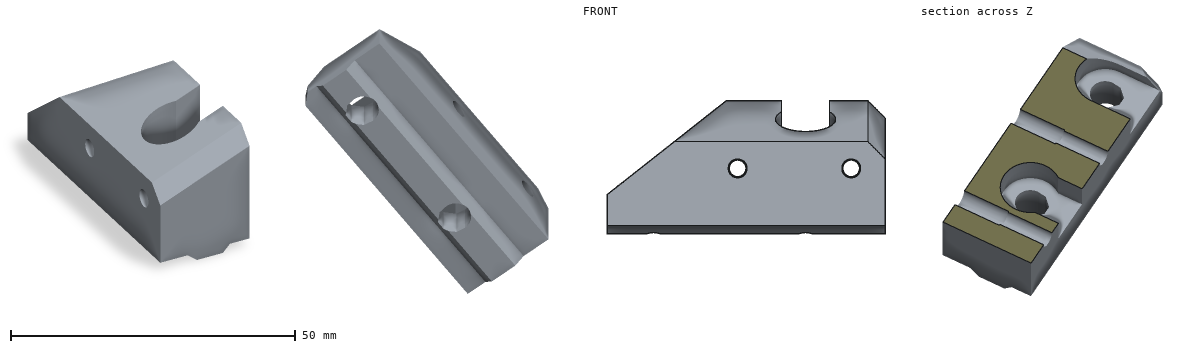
import cadquery as cq

length = 49.0
width = 17.9
height = 23.4
base_z = 1.45
front_height = 16.2
roof_slope = (height - front_height) / width

ramp_start_z = 6.9
ramp_top_x = 20.95

end_bevel = 3.1

rail_top_y = (5.5, 13.95)
rail_bottom_y = (7.35, 12.55)

station_spacing = 26.75
low_station_x = 8.2
high_station_x = low_station_x + station_spacing
station_y = 9.8
pocket_radius = 5.3
pocket_floor_z = ramp_start_z
high_slot_width = 8.4
screw_radius = 2.7
screw_flat_offset = 3.35
screw_flat_half_width = 0.85
screw_shoulder = (2.45, 1.7)

cross_diameter = 2.9
cross_front_diameter = 3.35
cross_front_depth = width / 2
cross_z = 11.5
cross_xs = (23.0, 42.95)

corner_bevel = 1.95
corner_cut_y = 12.3
corner_slope_x = 1.63
corner_slope_y = -0.86


def slab_above(origin, slope_x, slope_y):
    """Large slab on the upper side of a tilted plane, used to trim a corner or an edge."""
    plane = cq.Plane(origin=origin, xDir=(1, 0, slope_x), normal=(-slope_x, -slope_y, 1))
    return cq.Workplane(plane).rect(2 * length, 2 * length).extrude(length)


def make_block():
    """Block with a sloping roof, cut by the ramp and the bevel at the high end."""
    block = (
        cq.Workplane("YZ")
        .polyline([(0, base_z), (width, base_z), (width, height), (0, front_height)])
        .close()
        .extrude(length)
    )
    bevel_cut = slab_above(
        origin=(length - end_bevel, 0, front_height),
        slope_x=-1,
        slope_y=roof_slope,
    )
    ramp_cut = (
        cq.Workplane("XZ")
        .polyline([(0, ramp_start_z), (ramp_top_x, height), (0, height)])
        .close()
        .extrude(-width)
    )
    return block.cut(bevel_cut).cut(ramp_cut)


def make_rail():
    """Trapezoidal rail along the whole underside."""
    return (
        cq.Workplane("YZ")
        .polyline([(rail_top_y[0], base_z), (rail_bottom_y[0], 0),
                   (rail_bottom_y[1], 0), (rail_top_y[1], base_z)])
        .close()
        .extrude(length)
    )


def make_pocket(center_x, slot_width):
    """Round pocket with a straight slot out through the back face."""
    depth = height - pocket_floor_z
    floor = cq.Workplane("XY", origin=(center_x, station_y, pocket_floor_z))
    slot_length = width - station_y
    slot = floor.center(0, slot_length / 2).rect(slot_width, slot_length).extrude(depth)
    bore = floor.circle(pocket_radius).extrude(depth)
    return bore.union(slot)


def make_screw_hole(center_x):
    """Vertical hole, round at the front and tapering to a flat tip toward the back."""
    shoulder_x, shoulder_y = screw_shoulder
    return (
        cq.Workplane("XY", origin=(center_x, station_y, 0))
        .moveTo(screw_radius, 0)
        .lineTo(shoulder_x, shoulder_y)
        .lineTo(screw_flat_half_width, screw_flat_offset)
        .lineTo(-screw_flat_half_width, screw_flat_offset)
        .lineTo(-shoulder_x, shoulder_y)
        .lineTo(-screw_radius, 0)
        .threePointArc((0, -screw_radius), (screw_radius, 0))
        .close()
        .extrude(pocket_floor_z)
    )


def make_cross_hole(center_x):
    """Through hole with a slightly wider bore from the front face."""
    front = cq.Workplane("XZ", origin=(center_x, 0, cross_z))
    through_hole = front.circle(cross_diameter / 2).extrude(-width)
    front_bore = front.circle(cross_front_diameter / 2).extrude(-cross_front_depth)
    return through_hole.union(front_bore)


def make_corner_cuts():
    """Vertical bevel on the back corner and the sloping bevel above it."""
    vertical_cut = (
        cq.Workplane("XY")
        .polyline([(0, width), (corner_bevel, width), (0, width - corner_bevel)])
        .close()
        .extrude(height)
    )
    sloping_cut = slab_above(
        origin=(0, corner_cut_y, ramp_start_z),
        slope_x=corner_slope_x,
        slope_y=corner_slope_y,
    )
    return vertical_cut.union(sloping_cut)


result = make_block().union(make_rail())
result = result.cut(make_pocket(low_station_x, 2 * pocket_radius))
result = result.cut(make_pocket(high_station_x, high_slot_width))
for station_x in (low_station_x, high_station_x):
    result = result.cut(make_screw_hole(station_x))
for hole_x in cross_xs:
    result = result.cut(make_cross_hole(hole_x))
result = result.cut(make_corner_cuts())